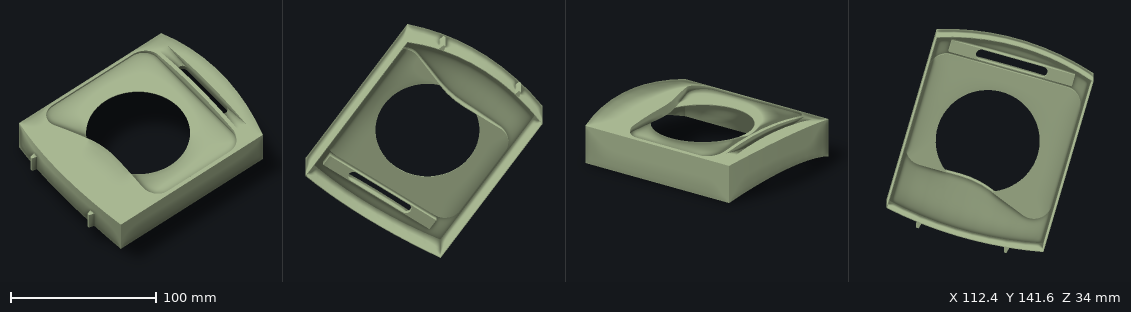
import cadquery as cq
import math


width = 112.4
length = 140.1
overall_length = 141.59
end_rise = 7.6
total_height = 33.98
top_rise = 6.55
crown_height = 24.15
half_width = width / 2
half_length = length / 2
margin = 10.0

wall = 0.5

pocket_floor_z = -7.65
pocket_half_width = 53.7
pocket_back_y = 47.7
pocket_front_y = -31.85
pocket_tip_y = -47.0
pocket_corner_radius = 12.3
lip_angle = math.radians(21.3)
lip_radius = 65.0

opening_radius = 35.8
opening_x = 0.75
opening_y = -3.15

slot_y = 54.25
slot_width = 7.3
slot_recess_length = 87.4
slot_opening_length = 51.0
slot_floor_z = -7.5
slot_block_bottom_z = -10.0

rib_x = 31.4
rib_root_width = 4.0
rib_tip_width = 1.7
rib_root_y = -67.0
rib_tip_y = half_length - overall_length
rib_top_z = -13.05
rib_bottom_z = -27.15


def arc_radius(half_chord, rise):
    """Radius of an arc from half its chord and its rise."""
    return (half_chord ** 2 + rise ** 2) / (2 * rise)


def plan_prism(bottom_z, top_z, inset=0.0):
    """Upright prism of the body outline, moved inward by inset."""
    side_x = half_width - inset
    end_radius = arc_radius(half_width, end_rise) - inset
    end_y = half_length - inset
    corner_y = end_y - end_radius + math.sqrt(end_radius ** 2 - side_x ** 2)
    return (
        cq.Workplane("XY")
        .workplane(offset=bottom_z)
        .moveTo(-side_x, -corner_y)
        .threePointArc((0, -end_y), (side_x, -corner_y))
        .lineTo(side_x, corner_y)
        .threePointArc((0, end_y), (-side_x, corner_y))
        .close()
        .extrude(top_z - bottom_z)
    )


def make_body():
    """Body outline bounded by the arched top and bottom faces."""
    section = (
        cq.Workplane("XZ")
        .moveTo(-half_width, -total_height)
        .threePointArc((0, -crown_height), (half_width, -total_height))
        .lineTo(half_width, -top_rise)
        .threePointArc((0, 0), (-half_width, -top_rise))
        .close()
        .extrude(half_length + margin, both=True)
    )
    return section.intersect(plan_prism(-total_height - margin, margin))


def make_cavity():
    """Hollow that leaves one wall thickness under the top face and pocket."""
    below_z = -total_height - margin
    arched_space = (
        cq.Workplane("XZ")
        .moveTo(-half_width, below_z)
        .lineTo(half_width, below_z)
        .lineTo(half_width, -top_rise - wall)
        .threePointArc((0, -wall), (-half_width, -top_rise - wall))
        .close()
        .extrude(half_length, both=True)
    )
    slot_block = (
        cq.Workplane("XY")
        .workplane(offset=slot_block_bottom_z)
        .center(0, slot_y)
        .rect(slot_recess_length + 2 * wall, slot_width + 2 * wall)
        .extrude(margin - slot_block_bottom_z)
    )
    cavity = arched_space.intersect(plan_prism(below_z, margin, wall))
    cavity = cavity.cut(make_pocket(wall))
    return cavity.cut(slot_block)


def make_pocket(growth=0.0):
    """Recess with a front edge that sweeps to a lobe, grown outward and down by growth."""
    floor_z = pocket_floor_z - growth
    radius = pocket_corner_radius
    diagonal = radius * math.sqrt(0.5)
    left_x = -pocket_half_width + radius
    right_x = pocket_half_width - radius
    back_y = pocket_back_y - radius
    front_y = pocket_front_y + radius
    lobe_y = pocket_tip_y + radius
    sine = math.sin(lip_angle)
    cosine = math.cos(lip_angle)
    slope_start_x = left_x + radius * sine
    slope_start_y = lobe_y - radius * cosine

    lip_corner_x = slope_start_x + (pocket_front_y - slope_start_y) / math.tan(lip_angle)
    lip_start_x = lip_corner_x + lip_radius * math.tan(lip_angle / 2)

    def sweep_point(angle):
        return (
            lip_start_x - lip_radius * math.sin(angle),
            pocket_front_y - lip_radius * (1 - math.cos(angle)),
        )

    outline = (
        cq.Workplane("XY")
        .workplane(offset=floor_z)
        .moveTo(left_x, pocket_back_y)
        .lineTo(right_x, pocket_back_y)
        .threePointArc((right_x + diagonal, back_y + diagonal), (pocket_half_width, back_y))
        .lineTo(pocket_half_width, front_y)
        .threePointArc((right_x + diagonal, front_y - diagonal), (right_x, pocket_front_y))
        .lineTo(lip_start_x, pocket_front_y)
        .threePointArc(sweep_point(lip_angle / 2), sweep_point(lip_angle))
        .lineTo(slope_start_x, slope_start_y)
        .threePointArc((left_x - diagonal, lobe_y - diagonal), (-pocket_half_width, lobe_y))
        .lineTo(-pocket_half_width, back_y)
        .threePointArc((left_x - diagonal, back_y + diagonal), (left_x, pocket_back_y))
        .close()
    )
    if growth > 0:
        outline = outline.offset2D(growth)
    return outline.extrude(margin - floor_z)


def make_opening():
    """Cylinder through the pocket floor only."""
    return (
        cq.Workplane("XY")
        .workplane(offset=pocket_floor_z - 2 * wall)
        .center(opening_x, opening_y)
        .circle(opening_radius)
        .extrude(2 * wall)
    )


def make_slot():
    """Dished recess running out at the top face, with a round-ended through slot."""
    half_recess = slot_recess_length / 2
    top_radius = arc_radius(half_width, top_rise)
    run_out_z = math.sqrt(top_radius ** 2 - half_recess ** 2) - top_radius
    recess = (
        cq.Workplane("XZ", origin=(0, slot_y, 0))
        .moveTo(-half_recess, run_out_z)
        .threePointArc((0, slot_floor_z), (half_recess, run_out_z))
        .lineTo(half_recess, margin)
        .lineTo(-half_recess, margin)
        .close()
        .extrude(slot_width / 2, both=True)
    )
    through = (
        cq.Workplane("XY")
        .workplane(offset=-total_height)
        .center(0, slot_y)
        .slot2D(slot_opening_length, slot_width)
        .extrude(total_height + margin)
    )
    return recess.union(through)


def make_rib(center_x):
    """Upright rib that narrows away from the front wall."""
    root = rib_root_width / 2
    tip = rib_tip_width / 2
    return (
        cq.Workplane("XY")
        .workplane(offset=rib_bottom_z)
        .moveTo(center_x - root, rib_root_y)
        .lineTo(center_x - tip, rib_tip_y)
        .lineTo(center_x + tip, rib_tip_y)
        .lineTo(center_x + root, rib_root_y)
        .close()
        .extrude(rib_top_z - rib_bottom_z)
    )


result = make_body()
for side in (-1, 1):
    result = result.union(make_rib(side * rib_x))
result = result.cut(make_cavity())
result = result.cut(make_pocket())
result = result.cut(make_opening())
result = result.cut(make_slot())